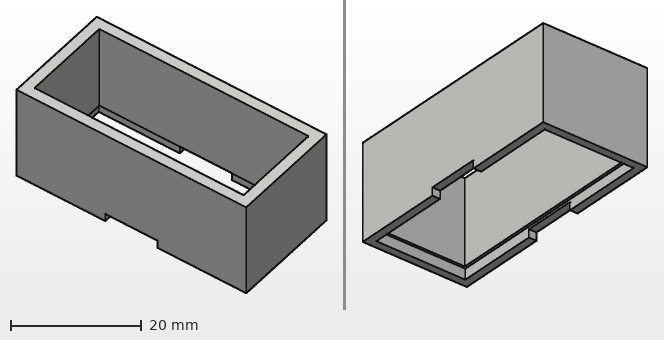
import cadquery as cq

length = 44.0
width = 20.5
height = 18.0
wall = 2.0

rebate_depth = 0.5
rebate_height = 2.0

notch_width = 10.0
notch_height = 1.5

opening_length = length - 2 * wall
opening_width = width - 2 * wall


def block(size_x, size_y, size_z):
    """Box centred in X and Y, standing on the bottom plane."""
    return cq.Workplane("XY").box(size_x, size_y, size_z, centered=(True, True, False))


frame = block(length, width, height).cut(block(opening_length, opening_width, height))
rebate = block(opening_length + 2 * rebate_depth, opening_width + 2 * rebate_depth, rebate_height)
notch = block(notch_width, width, notch_height)

result = frame.cut(rebate).cut(notch)